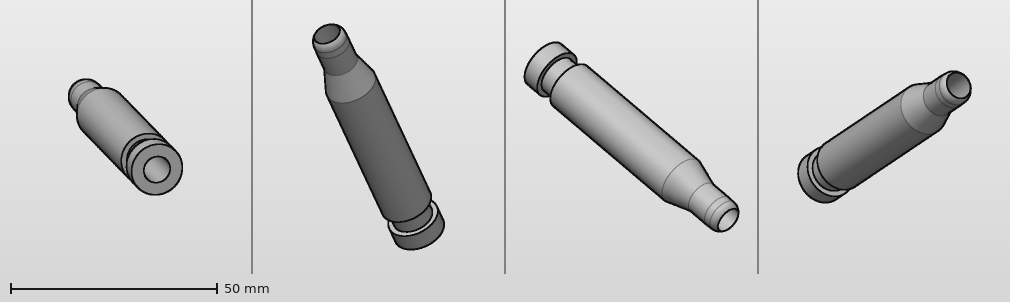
import cadquery as cq

length = 68.0
shoulder_start = 9.9
body_start = 17.3
groove_start = 58.5
rim_length = 4.7
nose_length = 2.1
nose_arc_radius = 2.6
taper_end = 4.0

body_diameter = 12.8
neck_diameter = 8.6
nose_diameter = 8.4
groove_diameter = 10.0
bore_diameter = 6.6

body_radius = body_diameter / 2
neck_radius = neck_diameter / 2
nose_radius = nose_diameter / 2
groove_radius = groove_diameter / 2
bore_radius = bore_diameter / 2
rim_start = length - rim_length


def turned_shell():
    """Revolve the stepped half-section, whose bore runs right through, about X."""
    section = (
        cq.Workplane("XZ")
        .moveTo(0, bore_radius)
        .radiusArc((nose_length, nose_radius), nose_arc_radius)
        .lineTo(taper_end, neck_radius)
        .lineTo(shoulder_start, neck_radius)
        .lineTo(body_start, body_radius)
        .lineTo(groove_start, body_radius)
        .lineTo(groove_start, groove_radius)
        .lineTo(rim_start, groove_radius)
        .lineTo(rim_start, body_radius)
        .lineTo(length, body_radius)
        .lineTo(length, bore_radius)
        .close()
    )
    return section.revolve(360, (0, 0, 0), (1, 0, 0))


result = turned_shell()